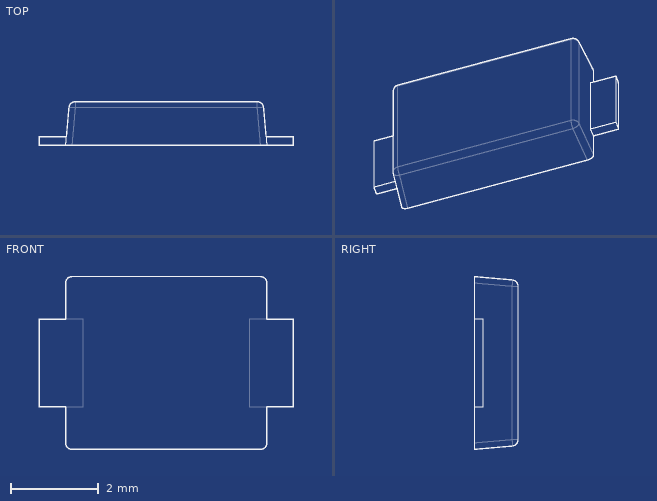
import cadquery as cq

body_length = 4.6
body_height = 3.95
body_depth = 1.0
draft_angle = 5.0
edge_radius = 0.15

overall_length = 5.8
terminal_length = 1.0
terminal_height = 2.0
terminal_thickness = 0.2


def make_body():
    """Drafted block, rounded everywhere except around the mounting face."""
    block = (
        cq.Workplane("XZ")
        .rect(body_length, body_height)
        .extrude(-body_depth, taper=draft_angle)
    )
    mounting_face_edges = cq.selectors.BoxSelector(
        (-body_length, -edge_radius, -body_height),
        (body_length, edge_radius, body_height),
    )
    rounded_edges = block.edges(cq.selectors.InverseSelector(mounting_face_edges))
    return rounded_edges.fillet(edge_radius)


def make_terminal(side):
    """Terminal plate at the end of the part; side is -1 or +1 along X."""
    center_x = side * (overall_length - terminal_length) / 2
    return (
        cq.Workplane("XZ")
        .center(center_x, 0)
        .rect(terminal_length, terminal_height)
        .extrude(-terminal_thickness)
    )


result = make_body()
for side in (-1, 1):
    terminal = make_terminal(side)
    result = result.cut(terminal, clean=False).union(terminal, clean=False)